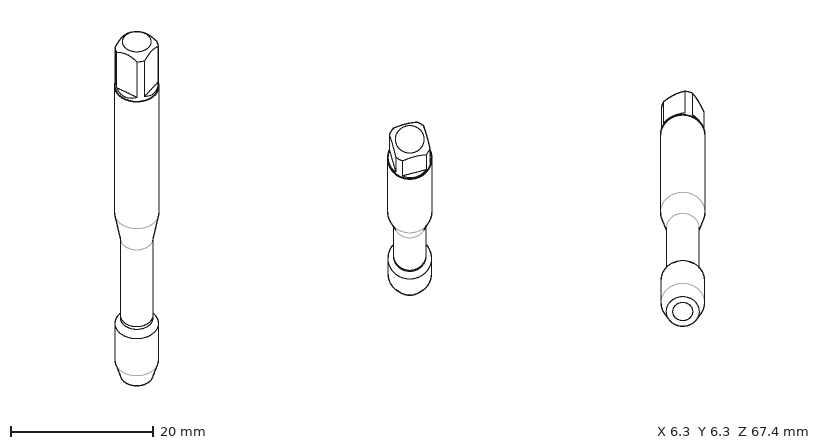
import cadquery as cq

TOTAL_LENGTH = 67.4

SHANK_DIAMETER = 6.3
NECK_DIAMETER = 4.6
THREAD_DIAMETER = 6.1
LEAD_END_DIAMETER = 4.65
TIP_HEIGHT = 1.4

LEAD_TOP = 4.2
THREAD_TOP = 11.5
COLLAR_TOP = 12.6
HEAD_TOP = 13.15
NECK_TOP = 28.4
SHANK_BOTTOM = 33.4
SHANK_TOP = 58.6

DRIVE_DIAMETER = 6.05
ACROSS_FLATS = 5.0
FLAT_BOTTOM = 59.4
RAMP_HEIGHT = 0.4
END_CHAMFER = 1.0
FLAT_COUNT = 4

shank_radius = SHANK_DIAMETER / 2
neck_radius = NECK_DIAMETER / 2
thread_radius = THREAD_DIAMETER / 2
drive_radius = DRIVE_DIAMETER / 2


def revolve_profile(points):
    """Revolve a closed (radius, height) outline about the Z axis."""
    return cq.Workplane("XZ").polyline(points).close().revolve(360, (0, 0), (0, 1))


def make_thread_head():
    """Working end: centre point, tapered lead, thread and conical collar."""
    return revolve_profile([
        (0, 0),
        (TIP_HEIGHT, TIP_HEIGHT),
        (LEAD_END_DIAMETER / 2, TIP_HEIGHT),
        (thread_radius, LEAD_TOP),
        (thread_radius, THREAD_TOP),
        (neck_radius, COLLAR_TOP),
        (neck_radius, HEAD_TOP),
        (0, HEAD_TOP),
    ])


def make_flat_cutter():
    """Material removed for the +X drive flat, with a ramp running out at its foot."""
    half_flats = ACROSS_FLATS / 2
    ramp_bottom = FLAT_BOTTOM - RAMP_HEIGHT
    return (
        cq.Workplane("XZ")
        .polyline([
            (half_flats, TOTAL_LENGTH),
            (half_flats, FLAT_BOTTOM),
            (drive_radius, ramp_bottom),
            (SHANK_DIAMETER, ramp_bottom),
            (SHANK_DIAMETER, TOTAL_LENGTH),
        ])
        .close()
        .extrude(shank_radius, both=True)
    )


def make_shank():
    """Neck, shank and square drive end."""
    shank = revolve_profile([
        (0, HEAD_TOP),
        (neck_radius, HEAD_TOP),
        (neck_radius, NECK_TOP),
        (shank_radius, SHANK_BOTTOM),
        (shank_radius, SHANK_TOP),
        (drive_radius, SHANK_TOP),
        (drive_radius, TOTAL_LENGTH - END_CHAMFER),
        (drive_radius - END_CHAMFER, TOTAL_LENGTH),
        (0, TOTAL_LENGTH),
    ])
    cutter = make_flat_cutter()
    for index in range(FLAT_COUNT):
        angle = index * 360 / FLAT_COUNT
        shank = shank.cut(cutter.rotate((0, 0, 0), (0, 0, 1), angle))
    return shank


thread_head = make_thread_head()
shank = make_shank()

result = cq.Compound.makeCompound([thread_head.val(), shank.val()])